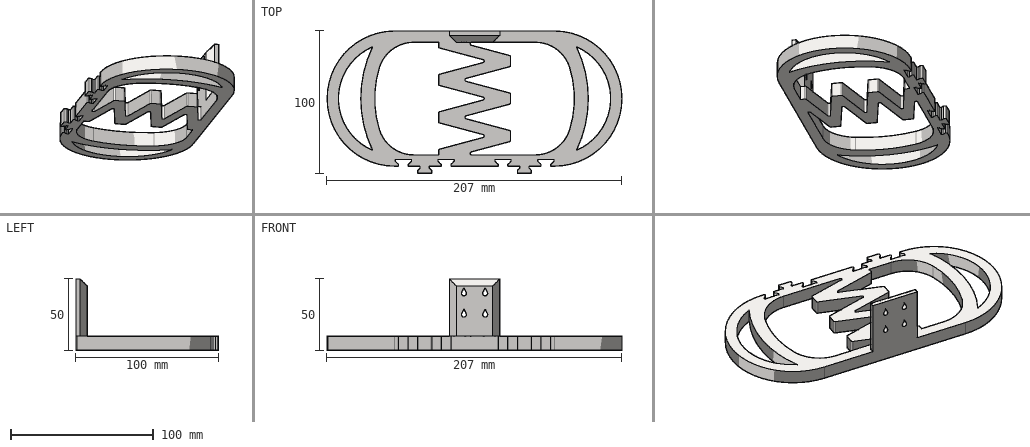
import cadquery as cq
import math

length = 207.0
depth_over_tongues = 100.0
tongue_length = 5.0
ring_height = 10.0
outer_radius = (depth_over_tongues - tongue_length) / 2
ring_wall = 8.0
inner_radius = outer_radius - ring_wall
end_center_x = length / 2 - outer_radius

bar_width = 10.0
bar_outer_x = 80.0
bar_outer_radius = 83.5
bar_inner_radius = bar_outer_radius - bar_width
bar_center_x = bar_outer_x - bar_outer_radius
window_corner_radius = 25.0

spring_half_width = 25.3
spring_pitch_count = 3
spring_pitch = 2 * inner_radius / spring_pitch_count
spring_notch_angle = 15.0
spring_notch_depth = 34.8
spring_corner_radius = 1.0

connector_x = 35.0
socket_spacing = 30.0
socket_depth = 4.8
socket_mouth_width = 6.6
socket_floor_width = 11.2
tongue_neck_width = 6.6
tongue_tip_width = 10.0
dovetail_neck_length = 1.2
dovetail_corner_radius = 0.5

plate_width = 35.5
plate_top = 50.0
plate_chamfer = 5.0
hole_radius = 1.7
hole_tip_height = 3.7
hole_spacing = 15.0
lower_hole_z = 25.0

EDGE_OVERLAP = 2.0
SELECTION_MARGIN = 0.2


def disc(x, radius):
    return cq.Workplane("XY").center(x, 0).circle(radius).extrude(ring_height)


def stadium(radius):
    """Stadium with both end arcs centred on the ends of the loop."""
    return cq.Workplane("XY").slot2D(2 * (end_center_x + radius), 2 * radius).extrude(ring_height)


def lens(radius):
    """Overlap of two discs whose outer arcs bulge towards -X and +X."""
    return disc(-bar_center_x, radius).intersect(disc(bar_center_x, radius))


def ring():
    strip = cq.Workplane("XY").rect(length, 2 * inner_radius).extrude(ring_height)
    window = lens(bar_inner_radius).intersect(strip).edges("|Z").fillet(window_corner_radius)
    crescents = stadium(inner_radius).cut(lens(bar_outer_radius))
    return stadium(outer_radius).cut(window).cut(crescents)


def spring_notch(side, y):
    """Triangular notch entering the spring from the given X side (-1 or +1)."""
    start = spring_half_width + EDGE_OVERLAP
    reach = spring_notch_depth + EDGE_OVERLAP
    half_opening = reach * math.tan(math.radians(spring_notch_angle))
    tip_x = side * (start - reach)
    points = [(side * start, y - half_opening), (tip_x, y), (side * start, y + half_opening)]
    return cq.Workplane("XY").polyline(points).close().extrude(ring_height)


def spring():
    body = cq.Workplane("XY").rect(2 * spring_half_width, 2 * inner_radius).extrude(ring_height)
    for index in range(spring_pitch_count + 1):
        body = body.cut(spring_notch(1, -inner_radius + index * spring_pitch))
    for index in range(spring_pitch_count):
        body = body.cut(spring_notch(-1, -inner_radius + (index + 0.5) * spring_pitch))
    return body


def edge_zone(x_min, x_max, y_min, y_max):
    """Selector for the upright edges standing inside a rectangle or on its border."""
    return cq.selectors.BoxSelector(
        (x_min - SELECTION_MARGIN, y_min - SELECTION_MARGIN, 0),
        (x_max + SELECTION_MARGIN, y_max + SELECTION_MARGIN, ring_height),
    )


def round_spring_corners(body):
    """Round every spring corner except the two where its -X side meets the ring."""
    corners = edge_zone(-spring_half_width, spring_half_width, -inner_radius, inner_radius)
    for y in (-inner_radius, inner_radius):
        corners = corners - edge_zone(-spring_half_width, -spring_half_width, y, y)
    return body.edges("|Z").edges(corners).fillet(spring_corner_radius)


def dovetail(x, y_narrow, y_wide, narrow_width, wide_width):
    """Dovetail with a straight neck, then 45-degree flares, then straight sides."""
    direction = math.copysign(1, y_wide - y_narrow)
    y_neck = y_narrow + direction * dovetail_neck_length
    y_shoulder = y_neck + direction * (wide_width - narrow_width) / 2
    half_profile = [
        (narrow_width / 2, y_narrow),
        (narrow_width / 2, y_neck),
        (wide_width / 2, y_shoulder),
        (wide_width / 2, y_wide),
    ]
    right = [(x + dx, y) for dx, y in half_profile]
    left = [(x - dx, y) for dx, y in reversed(half_profile)]
    return cq.Workplane("XY").polyline(right + left).close().extrude(ring_height)


def round_corner(body, x, y):
    """Round the upright edge of the body nearest to the point (x, y)."""
    edge = cq.selectors.NearestToPointSelector((x, y, ring_height / 2))
    return body.edges("|Z").edges(edge).fillet(dovetail_corner_radius)


def add_connectors(body):
    edge_y = -outer_radius
    for side in (-1, 1):
        x = side * connector_x
        for offset in (-socket_spacing / 2, socket_spacing / 2):
            socket = dovetail(
                x + offset, edge_y, edge_y + socket_depth, socket_mouth_width, socket_floor_width
            )
            body = body.cut(socket)
            for lip in (-socket_mouth_width / 2, socket_mouth_width / 2):
                body = round_corner(body, x + offset + lip, edge_y)
        tongue = dovetail(x, edge_y, edge_y - tongue_length, tongue_neck_width, tongue_tip_width)
        body = body.union(tongue)
        for tip in (-tongue_tip_width / 2, tongue_tip_width / 2):
            body = round_corner(body, x + tip, edge_y - tongue_length)
    return body


def teardrop_hole(x, z):
    """Round hole through the plate along Y, with a pointed roof tangent to the circle."""
    side_angle = math.asin(hole_radius / hole_tip_height)
    side_x = hole_radius * math.cos(side_angle)
    side_z = z + hole_radius * math.sin(side_angle)
    return (
        cq.Workplane("XZ", origin=(0, outer_radius, 0))
        .moveTo(x - side_x, side_z)
        .threePointArc((x, z - hole_radius), (x + side_x, side_z))
        .lineTo(x, z + hole_tip_height)
        .close()
        .extrude(ring_wall)
    )


def mounting_plate():
    plate = (
        cq.Workplane("XY")
        .center(0, outer_radius - ring_wall / 2)
        .rect(plate_width, ring_wall)
        .extrude(plate_top)
    )
    plate = plate.faces("<Y").edges("|Z or >Z").chamfer(plate_chamfer)
    for x in (-hole_spacing / 2, hole_spacing / 2):
        for z in (lower_hole_z, lower_hole_z + hole_spacing):
            plate = plate.cut(teardrop_hole(x, z))
    return plate


loop = round_spring_corners(ring().union(spring()))
result = add_connectors(loop).union(mounting_plate())